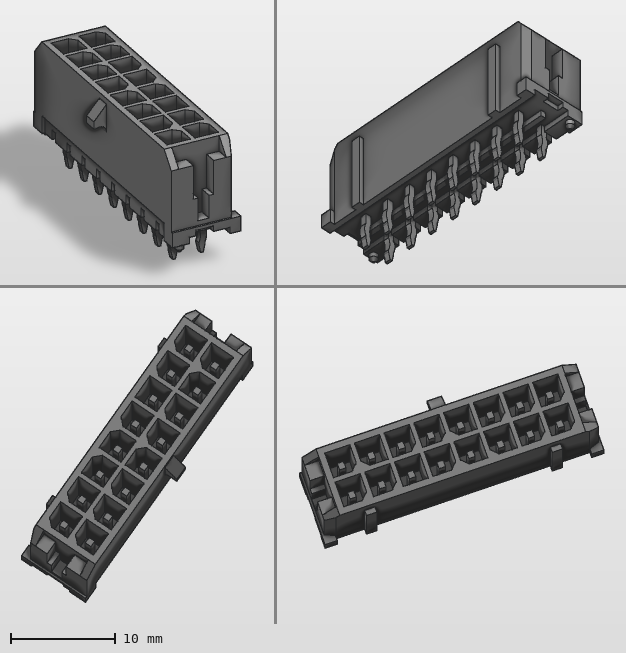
import cadquery as cq


body_length = 27.7
body_depth = 6.87
body_top = 9.88
flange_length = 28.15
flange_height = 1.6
end_chamfer_width = 1.44
end_chamfer_height = 1.7
back_corner_length = 1.05
back_corner_depth = 0.37
row_middle = body_depth / 2

back_reach = 7.4
ear_width = 1.25
back_rib_width = 1.05
back_rib_offset = 9.37
back_rib_top = 8.3

end_slot_middle = 3.5
end_pocket_front = 0.82
end_pocket_back = 5.95
upper_slot_width = 2.2
upper_slot_bottom = 4.55
lower_slot_width = 1.18
lower_slot_bottom = 2.1

channel_height = 0.68
channel_front = 1.85
channel_back = 6.25
panel_length = 24.65
panel_height = 1.9
panel_recess = 0.28
pin_notch_height = 1.0
end_notch_width = 1.91
end_notch_height = 1.27
end_notch_depth = 0.7
keel_width = 0.6

columns = 8
row_span = 21.0
pitch = row_span / (columns - 1)
column_places = [pitch * i - row_span / 2 for i in range(columns)]
front_row = row_middle - pitch / 2
back_row = row_middle + pitch / 2

cavity_size = 2.53
cavity_floor = 2.25
cavity_corner = 0.68
front_row_keys = "LLLRLLRL"
back_row_keys = "LLRRLNLL"

pin_width = 0.65
pin_depth = 0.68
pin_top = 7.88
pin_bend_top = -0.55
pin_bend_bottom = -2.08
pin_bend_offset = 0.17
pin_taper_top = -2.35
pin_bottom = -3.2
pin_tip_depth = 0.28

latch_width = 1.45
latch_reach = 1.38
latch_top = 9.25
latch_nose_top = 7.7
latch_nose_bottom = 6.92
latch_root_radius = 0.73
latch_root_bottom = 6.28

peg_spacing = 27.02
peg_y = 1.05
peg_diameter = 0.9
peg_length = 0.5
peg_cone_height = 0.37
peg_tip_diameter = 0.25


def block(x_range, y_range, z_range):
    """Box given by its limits along each axis."""
    size = [high - low for low, high in (x_range, y_range, z_range)]
    corner = (x_range[0], y_range[0], z_range[0])
    return cq.Workplane("XY").box(*size, centered=False).translate(corner)


def centred_block(x, width, y_range, z_range):
    """Box of the given width along X, centred on x."""
    return block((x - width / 2, x + width / 2), y_range, z_range)


def both_ends(left_end):
    """The left-end shape together with its mirror image at the right end."""
    return left_end.union(left_end.mirror("YZ"))


def make_shell():
    """Solid housing with sloped ends, cut back corners and a base flange."""
    half = body_length / 2
    shoulder = body_top - end_chamfer_height
    outline = [
        (-half, 0),
        (half, 0),
        (half, shoulder),
        (half - end_chamfer_width, body_top),
        (end_chamfer_width - half, body_top),
        (-half, shoulder),
    ]
    shell = cq.Workplane("XZ").polyline(outline).close().extrude(-body_depth)
    corner = (
        cq.Workplane("XY")
        .moveTo(-half, body_depth)
        .lineTo(back_corner_length - half, body_depth)
        .lineTo(-half, body_depth - back_corner_depth)
        .close()
        .extrude(body_top)
    )
    flange = centred_block(0, flange_length, (0, body_depth), (0, flange_height))
    return shell.cut(both_ends(corner)).union(flange)


def make_back_projections():
    """Flange ears and standing ribs behind the back face."""
    end = -flange_length / 2
    attach = body_depth - back_corner_depth
    ear = block((end, end + ear_width), (attach, back_reach), (0, flange_height))
    rib = centred_block(-back_rib_offset, back_rib_width, (attach, back_reach), (0, back_rib_top))
    return both_ends(ear.union(rib))


def make_end_slots():
    """Cutter for the top pocket and the stepped slot below it, at both ends."""
    end = -body_length / 2
    x_range = (end, end + end_chamfer_width)
    shoulder = body_top - end_chamfer_height
    slot = block(x_range, (end_pocket_front, end_pocket_back), (shoulder, body_top))
    for width, bottom in ((upper_slot_width, upper_slot_bottom), (lower_slot_width, lower_slot_bottom)):
        y_range = (end_slot_middle - width / 2, end_slot_middle + width / 2)
        slot = slot.union(block(x_range, y_range, (bottom, shoulder)))
    return both_ends(slot)


def make_underside_cuts():
    """Cutter for the channel, the recessed front panel and the notches."""
    end = -flange_length / 2
    channel = centred_block(0, flange_length, (channel_front, channel_back), (0, channel_height))
    keel_range = (row_middle - keel_width / 2, row_middle + keel_width / 2)
    keel = centred_block(0, panel_length, keel_range, (0, channel_height))
    panel = centred_block(0, panel_length, (0, panel_recess), (0, panel_height))
    cuts = channel.cut(keel).union(panel)
    for x in column_places:
        cuts = cuts.union(centred_block(x, pin_width, (0, front_row), (0, pin_notch_height)))
    notch_range = (end_slot_middle - end_notch_width / 2, end_slot_middle + end_notch_width / 2)
    end_notch = block((end, end + end_notch_depth), notch_range, (0, end_notch_height))
    return cuts.union(both_ends(end_notch))


def make_cavity(x, y, key):
    """Cutter for one contact cavity with its keyed back corner."""
    depth = body_top - cavity_floor
    cavity = cq.Workplane("XY", origin=(x, y, cavity_floor)).rect(cavity_size, cavity_size).extrude(depth)
    if key == "L":
        return cavity.edges("|Z and <X and >Y").chamfer(cavity_corner)
    if key == "R":
        return cavity.edges("|Z and >X and >Y").chamfer(cavity_corner)
    return cavity


def make_pin(x, y, outward):
    """Kinked board pin; outward is the Y direction (-1 or 1) of its bend."""
    half = pin_depth / 2
    half_tip = pin_tip_depth / 2
    bend_middle = (pin_bend_top + pin_bend_bottom) / 2
    profile = (
        cq.Workplane("YZ")
        .moveTo(-half, pin_top)
        .lineTo(half, pin_top)
        .lineTo(half, pin_bend_top)
        .threePointArc((half + pin_bend_offset, bend_middle), (half, pin_bend_bottom))
        .lineTo(half, pin_taper_top)
        .lineTo(half_tip, pin_bottom)
        .lineTo(-half_tip, pin_bottom)
        .lineTo(-half, pin_taper_top)
        .lineTo(-half, pin_bend_bottom)
        .threePointArc((pin_bend_offset - half, bend_middle), (-half, pin_bend_top))
        .close()
    )
    pin = profile.extrude(pin_width / 2, both=True)
    if outward < 0:
        pin = pin.mirror("XZ")
    return pin.translate((x, y, 0))


def make_latch():
    """Ramp with a blunt nose and a rounded undercut that ends on the front face."""
    rise = latch_nose_bottom - latch_root_bottom
    undercut_start = -latch_root_radius - (latch_root_radius**2 - rise**2) ** 0.5
    return (
        cq.Workplane("YZ")
        .moveTo(0, latch_top)
        .lineTo(-latch_reach, latch_nose_top)
        .lineTo(-latch_reach, latch_nose_bottom)
        .lineTo(undercut_start, latch_nose_bottom)
        .threePointArc(
            (-latch_root_radius, latch_root_bottom + latch_root_radius),
            (0, latch_root_bottom),
        )
        .close()
        .extrude(latch_width / 2, both=True)
    )


def make_pegs():
    """Round locating pegs with conical tips under both ends."""
    tip = -peg_length - peg_cone_height
    peg = (
        cq.Workplane("XZ")
        .moveTo(0, channel_height)
        .lineTo(peg_diameter / 2, channel_height)
        .lineTo(peg_diameter / 2, -peg_length)
        .lineTo(peg_tip_diameter / 2, tip)
        .lineTo(0, tip)
        .close()
        .revolve(360, (0, 0, 0), (0, 1, 0))
    )
    return both_ends(peg.translate((-peg_spacing / 2, peg_y, 0)))


housing = make_shell().union(make_back_projections())
housing = housing.cut(make_end_slots()).cut(make_underside_cuts())
result = housing.union(make_latch()).union(make_pegs())

rows = ((front_row, -1, front_row_keys), (back_row, 1, back_row_keys))
for row_y, bend_side, keys in rows:
    for column_x, corner_key in zip(column_places, keys):
        result = result.cut(make_cavity(column_x, row_y, corner_key))
        result = result.union(make_pin(column_x, row_y, bend_side))